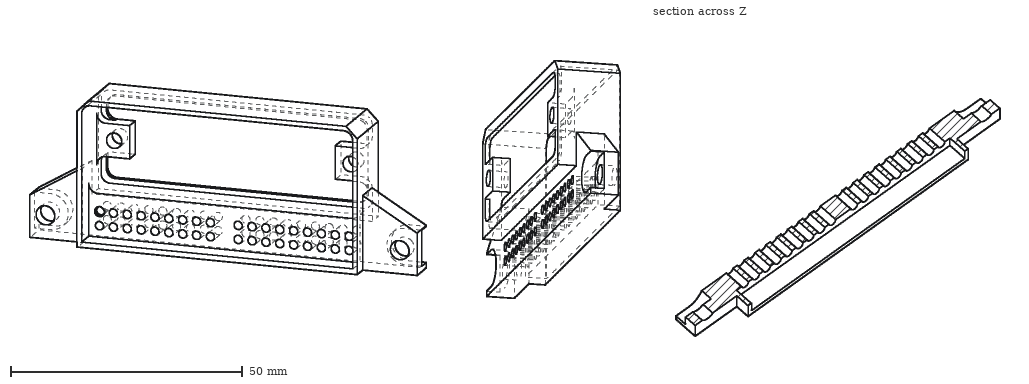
import cadquery as cq

TOTAL_WIDTH = 88.65
DEPTH = 14.0
HEIGHT = 33.2

FRAME_WIDTH = 64.1
WALL = 1.1
BOTTOM_WALL = 1.2
TOP_CHAMFER = 2.6
STEP_HEIGHT = 9.3
LOWER_DEPTH = 9.8

CAVITY_WIDTH = FRAME_WIDTH - 2 * WALL
CAVITY_TOP = HEIGHT - WALL
PANEL_SETBACK = 4.8
BAY_FLOOR = 11.1
BAY_RADIUS = 2.0
REAR_WALL = 1.1

WINDOW_WIDTH = 59.6
WINDOW_BOTTOM = 12.2
WINDOW_TOP = 30.9
WINDOW_RADIUS = 2.0

TAB_CORNER_RADIUS = 2.1

TAB_SPACING = 54.1
TAB_HOLE_DIAMETER = 3.5
TAB_INNER_X = 23.5
TAB_HEIGHT = 7.5
TAB_CENTER_Z = 21.6
TAB_THICKNESS = 3.9

PIN_DIAMETER = 1.9
PIN_SPAN = 57.1
PIN_COLUMNS_PER_SIDE = 9
PIN_PITCH = PIN_SPAN / (2 * PIN_COLUMNS_PER_SIDE)
PIN_LOWER_ROW_Z = 3.8
PIN_ROWS = 2
FIRST_PIN_RECESS_DIAMETER = 2.2
FIRST_PIN_RECESS_DEPTH = 0.9

LEFT_EAR_REACH = 44.15
RIGHT_EAR_REACH = TOTAL_WIDTH - LEFT_EAR_REACH
EAR_FRONT = 3.6
EAR_END_HEIGHT = 9.6
EAR_ROOT_HEIGHT = 16.8
EAR_HOLE_DIAMETER = 4.25
EAR_HOLE_SPACING = 81.0
EAR_HOLE_Z = 5.3
NUT_SLOT_WIDTH = 8.2
NUT_SLOT_DEPTH = 3.0


def block(x_min, x_max, y_min, y_max, z_min, z_max):
    """Axis-aligned box between the given limits."""
    box = cq.Workplane("XY").box(x_max - x_min, y_max - y_min, z_max - z_min, centered=False)
    return box.translate((x_min, y_min, z_min))


def centered_block(width, y_min, y_max, z_min, z_max):
    """Box symmetric about X = 0."""
    return block(-width / 2, width / 2, y_min, y_max, z_min, z_max)


def drill(diameter, x, z, y_min, y_max):
    """Cylinder along Y."""
    plane = cq.Workplane("XZ", origin=(x, y_min, z))
    return plane.circle(diameter / 2).extrude(-(y_max - y_min))


def make_frame():
    frame = centered_block(FRAME_WIDTH, 0, DEPTH, 0, HEIGHT)
    frame = frame.edges("|Y and >Z").chamfer(TOP_CHAMFER)
    return frame.cut(centered_block(FRAME_WIDTH, LOWER_DEPTH, DEPTH, 0, STEP_HEIGHT))


def make_cavity():
    recess = centered_block(CAVITY_WIDTH, 0, PANEL_SETBACK, BOTTOM_WALL, CAVITY_TOP)
    recess = recess.edges("|Y and >Z").fillet(BAY_RADIUS)
    bay = centered_block(CAVITY_WIDTH, 0, DEPTH - REAR_WALL, BAY_FLOOR, CAVITY_TOP)
    bay = bay.edges("|Y").fillet(BAY_RADIUS)
    window = centered_block(WINDOW_WIDTH, 0, DEPTH, WINDOW_BOTTOM, WINDOW_TOP)
    window = window.edges("|Y").fillet(WINDOW_RADIUS)
    return recess.union(bay).union(window)


def make_tab():
    """Right-hand screw tab, flared into the side wall by concave fillets."""
    wall_x = CAVITY_WIDTH / 2
    half_height = TAB_HEIGHT / 2
    r = BAY_RADIUS
    outline = (
        cq.Workplane("XZ", origin=(0, DEPTH - TAB_THICKNESS, TAB_CENTER_Z))
        .moveTo(TAB_INNER_X, -half_height)
        .lineTo(wall_x - r, -half_height)
        .radiusArc((wall_x, -half_height - r), r)
        .lineTo(wall_x, half_height + r)
        .radiusArc((wall_x - r, half_height), r)
        .lineTo(TAB_INNER_X, half_height)
        .close()
    )
    tab = outline.extrude(-TAB_THICKNESS)
    return tab.cut(drill(TAB_HOLE_DIAMETER, TAB_SPACING / 2, TAB_CENTER_Z, 0, DEPTH))


def make_tab_corner():
    """Concave filler between the window side and the top of the left-hand tab."""
    side_x = -WINDOW_WIDTH / 2
    tab_top = TAB_CENTER_Z + TAB_HEIGHT / 2
    r = TAB_CORNER_RADIUS
    outline = (
        cq.Workplane("XZ", origin=(0, DEPTH - REAR_WALL, 0))
        .moveTo(side_x, tab_top)
        .lineTo(side_x + r, tab_top)
        .radiusArc((side_x, tab_top + r), r)
        .close()
    )
    return outline.extrude(-REAR_WALL)


def make_pin_holes():
    holes = cq.Workplane("XY")
    for column in range(-PIN_COLUMNS_PER_SIDE, PIN_COLUMNS_PER_SIDE + 1):
        if column == 0:
            continue
        for row in range(PIN_ROWS):
            z = PIN_LOWER_ROW_Z + row * PIN_PITCH
            holes = holes.add(drill(PIN_DIAMETER, column * PIN_PITCH, z, 0, DEPTH))
    first_x = -PIN_SPAN / 2
    first_z = PIN_LOWER_ROW_Z + (PIN_ROWS - 1) * PIN_PITCH
    recess_floor = PANEL_SETBACK + FIRST_PIN_RECESS_DEPTH
    holes = holes.add(drill(FIRST_PIN_RECESS_DIAMETER, first_x, first_z, PANEL_SETBACK, recess_floor))
    return holes.combine()


def make_ear(end_x):
    """Mounting ear on the +X side with a nut slot open to the rear and the end."""
    root_x = FRAME_WIDTH / 2
    hole_x = EAR_HOLE_SPACING / 2
    corners = [(root_x, 0), (end_x, 0), (end_x, EAR_END_HEIGHT), (root_x, EAR_ROOT_HEIGHT)]
    ear = cq.Workplane("XZ", origin=(0, EAR_FRONT, 0)).polyline(corners).close()
    ear = ear.extrude(-(LOWER_DEPTH - EAR_FRONT))
    slot_front = LOWER_DEPTH - NUT_SLOT_DEPTH
    half_slot = NUT_SLOT_WIDTH / 2
    slot_end = drill(NUT_SLOT_WIDTH, hole_x, EAR_HOLE_Z, slot_front, LOWER_DEPTH)
    slot_mouth = block(
        hole_x, end_x, slot_front, LOWER_DEPTH, EAR_HOLE_Z - half_slot, EAR_HOLE_Z + half_slot
    )
    hole = drill(EAR_HOLE_DIAMETER, hole_x, EAR_HOLE_Z, 0, DEPTH)
    return ear.cut(slot_end).cut(slot_mouth).cut(hole)


result = make_frame().cut(make_cavity())
right_tab = make_tab()
result = result.union(right_tab).union(right_tab.mirror("YZ"))
result = result.union(make_tab_corner())
result = result.union(make_ear(RIGHT_EAR_REACH)).union(make_ear(LEFT_EAR_REACH).mirror("YZ"))
result = result.cut(make_pin_holes())